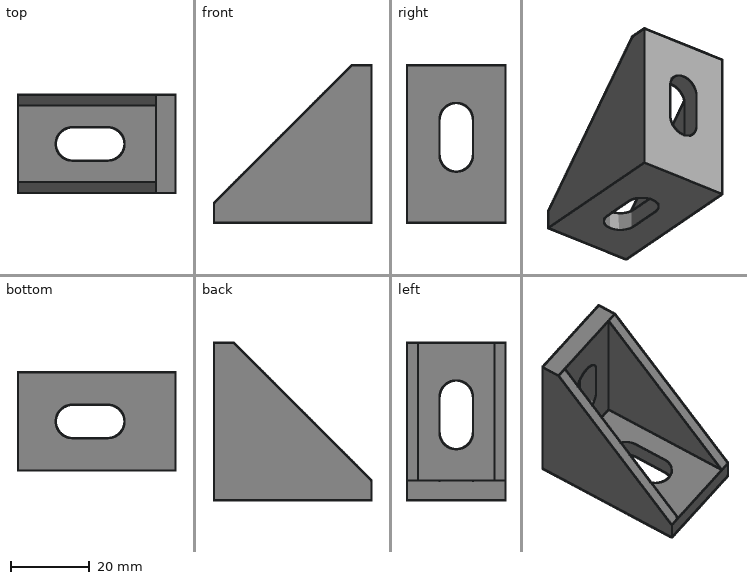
import cadquery as cq

leg_length = 40.0
width = 25.0

plate_thickness = 5.0
gusset_thickness = 2.8

slot_length = 17.35
slot_width = 8.4
slot_center_from_corner = 21.7


def make_body():
    """Solid wedge with its square corner at +X, -Z and blunt ends as thick as the plates."""
    profile = [
        (0, 0),
        (leg_length, 0),
        (leg_length, leg_length),
        (leg_length - plate_thickness, leg_length),
        (0, plate_thickness),
    ]
    return cq.Workplane("XZ").polyline(profile).close().extrude(width / 2, both=True)


def make_cavity():
    """Space between the two gussets, above the base and in front of the upright."""
    profile = [
        (0, plate_thickness),
        (leg_length - plate_thickness, plate_thickness),
        (leg_length - plate_thickness, leg_length),
        (0, leg_length),
    ]
    half_gap = width / 2 - gusset_thickness
    return cq.Workplane("XZ").polyline(profile).close().extrude(half_gap, both=True)


def make_base_slot():
    """Slot through the base plate, long along X."""
    return (
        cq.Workplane("XY")
        .center(leg_length - slot_center_from_corner, 0)
        .slot2D(slot_length, slot_width)
        .extrude(plate_thickness)
    )


def make_upright_slot():
    """Slot through the upright plate, long along Z."""
    return (
        cq.Workplane("YZ", origin=(leg_length - plate_thickness, 0, 0))
        .center(0, slot_center_from_corner)
        .slot2D(slot_length, slot_width, 90)
        .extrude(plate_thickness)
    )


result = (
    make_body()
    .cut(make_cavity())
    .cut(make_base_slot())
    .cut(make_upright_slot())
)